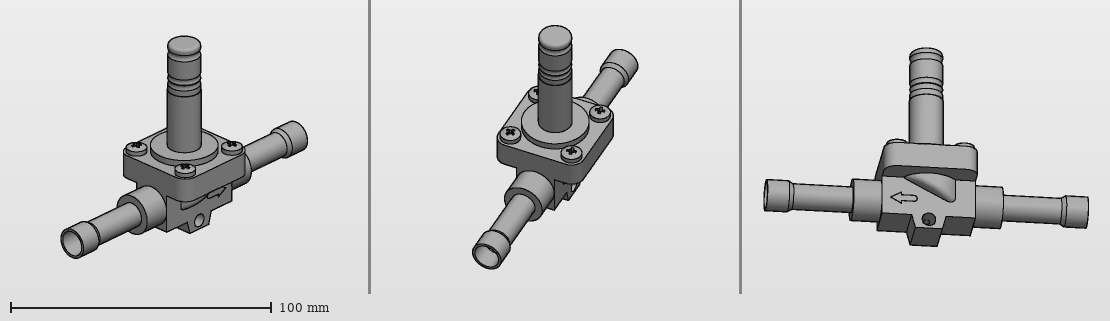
import cadquery as cq
import math

TURN_ANGLE = -9.2

COVER_SIDE = 36.0
COVER_CORNER_RADIUS = 5.1
COVER_BOTTOM = 7.0
COVER_TOP = 16.8
BOSS_DIAMETER = 26.0
BOSS_TOP = 19.4

SCREW_OFFSET = COVER_SIDE / 2 - COVER_CORNER_RADIUS
SCREW_DIAMETER = 8.0
SCREW_RIM_TOP = 18.7
SCREW_CROWN_TOP = 19.8
RECESS_SPAN = 4.0
RECESS_WIDTH = 0.9
RECESS_DEPTH = 2.0
RECESS_WELL_DIAMETER = 2.0
SCREWS = [(-1, 1, 0.0), (1, 1, 0.0), (1, -1, 0.0), (-1, -1, -32.0)]

STEM_DIAMETER = 13.0
STEM_SHOULDER = 43.5
TIP_DIAMETER = 12.7
STEM_TOP = 63.7
STEM_END_DIAMETER = 10.1
STEM_END_ROUND = (TIP_DIAMETER - STEM_END_DIAMETER) / 2
STEM_GROOVES = [(46.0, 48.2, 12.0), (48.5, 50.7, 12.0), (58.6, 61.3, 11.6)]

BODY_WIDTH = 16.0
BODY_LENGTH = COVER_SIDE
BODY_BOTTOM = -8.7

CHAMBER_DIAMETER = 26.0
CHAMBER_SLOPE = 28.0
CHAMBER_MID_HEIGHT = 1.5
CHAMBER_EDGE_RADIUS = 2.0

TAB_BOTTOM = -14.0
TAB_TOP_LENGTH = 13.3
TAB_BOTTOM_LENGTH = 10.5
TAB_HOLE_DIAMETER = 5.2
TAB_HOLE_HEIGHT = -10.3

ARROW_TIP = 14.8
ARROW_NECK = 10.6
ARROW_TAIL = 4.5
ARROW_HEAD_WIDTH = 4.7
ARROW_SHAFT_WIDTH = 2.5
ARROW_HEIGHT = -1.7
ARROW_DEPTH = 0.1

PIPE_SPAN = 124.0
PIPE_END = PIPE_SPAN / 2
COLLAR_DIAMETER = 16.0
COLLAR_END = 28.8
PIPE_DIAMETER = 10.0
BORE_DIAMETER = 8.0
BORE_FLOOR = 21.1
SOCKET_DIAMETER = 12.0
SOCKET_BORE = 10.1
SOCKET_LENGTH = 8.5
FLARE_LENGTH = 1.7


def make_cover():
    plate = (
        cq.Workplane("XY", origin=(0, 0, COVER_BOTTOM))
        .rect(COVER_SIDE, COVER_SIDE)
        .extrude(COVER_TOP - COVER_BOTTOM)
        .edges("|Z")
        .fillet(COVER_CORNER_RADIUS)
    )
    boss = (
        cq.Workplane("XY", origin=(0, 0, COVER_TOP))
        .circle(BOSS_DIAMETER / 2)
        .extrude(BOSS_TOP - COVER_TOP)
    )
    return plate.union(boss)


def make_recess():
    """Cross-shaped cutter whose arms get shorter towards a small round well."""
    floor = SCREW_CROWN_TOP - RECESS_DEPTH
    arm = (
        cq.Workplane("XZ")
        .moveTo(-RECESS_SPAN / 2, SCREW_CROWN_TOP)
        .lineTo(RECESS_SPAN / 2, SCREW_CROWN_TOP)
        .lineTo(RECESS_WELL_DIAMETER / 2, floor)
        .lineTo(-RECESS_WELL_DIAMETER / 2, floor)
        .close()
        .extrude(RECESS_WIDTH / 2, both=True)
    )
    well = (
        cq.Workplane("XY", origin=(0, 0, floor))
        .circle(RECESS_WELL_DIAMETER / 2)
        .extrude(RECESS_DEPTH)
    )
    return arm.union(arm.rotate((0, 0, 0), (0, 0, 1), 90)).union(well)


def make_screw(x_side, y_side, direction):
    """Domed screw head with a cross recess."""
    radius = SCREW_DIAMETER / 2
    rise = SCREW_CROWN_TOP - SCREW_RIM_TOP
    dome_radius = (radius**2 + rise**2) / (2 * rise)
    half_chord = radius / 2
    half_height = SCREW_CROWN_TOP - dome_radius + math.sqrt(dome_radius**2 - half_chord**2)
    head = (
        cq.Workplane("XZ")
        .moveTo(0, COVER_TOP)
        .lineTo(radius, COVER_TOP)
        .lineTo(radius, SCREW_RIM_TOP)
        .threePointArc((half_chord, half_height), (0, SCREW_CROWN_TOP))
        .close()
        .revolve(360, (0, 0, 0), (0, 1, 0))
    )
    head = head.cut(make_recess()).rotate((0, 0, 0), (0, 0, 1), direction - TURN_ANGLE)
    return head.translate((x_side * SCREW_OFFSET, y_side * SCREW_OFFSET, 0))


def make_stem():
    tip_radius = TIP_DIAMETER / 2
    round_centre = (STEM_END_DIAMETER / 2, STEM_TOP - STEM_END_ROUND)
    round_reach = STEM_END_ROUND * math.sqrt(0.5)
    profile = (
        cq.Workplane("XZ")
        .moveTo(0, COVER_TOP)
        .lineTo(STEM_DIAMETER / 2, COVER_TOP)
        .lineTo(STEM_DIAMETER / 2, STEM_SHOULDER)
        .lineTo(tip_radius, STEM_SHOULDER)
    )
    for bottom, top, floor_diameter in STEM_GROOVES:
        profile = profile.lineTo(tip_radius, bottom).threePointArc(
            (floor_diameter / 2, (bottom + top) / 2), (tip_radius, top)
        )
    return (
        profile.lineTo(tip_radius, round_centre[1])
        .threePointArc(
            (round_centre[0] + round_reach, round_centre[1] + round_reach),
            (round_centre[0], STEM_TOP),
        )
        .lineTo(0, STEM_TOP)
        .close()
        .revolve(360, (0, 0, 0), (0, 1, 0))
    )


def make_chamber():
    radius = CHAMBER_DIAMETER / 2
    rise = radius * math.tan(math.radians(CHAMBER_SLOPE))
    chamber = (
        cq.Workplane("XY", origin=(0, 0, BODY_BOTTOM))
        .circle(radius)
        .extrude(COVER_TOP - BODY_BOTTOM)
    )
    keeper = (
        cq.Workplane("YZ")
        .moveTo(-radius, CHAMBER_MID_HEIGHT - rise)
        .lineTo(radius, CHAMBER_MID_HEIGHT + rise)
        .lineTo(radius, COVER_TOP)
        .lineTo(-radius, COVER_TOP)
        .close()
        .extrude(radius, both=True)
    )
    chamber = chamber.intersect(keeper)
    return chamber.faces("<Z").edges().fillet(CHAMBER_EDGE_RADIUS)


def make_body():
    block = (
        cq.Workplane("XY", origin=(0, 0, BODY_BOTTOM))
        .rect(BODY_WIDTH, BODY_LENGTH)
        .extrude(COVER_BOTTOM - BODY_BOTTOM)
    )
    tab = (
        cq.Workplane("YZ")
        .moveTo(-TAB_TOP_LENGTH / 2, BODY_BOTTOM)
        .lineTo(TAB_TOP_LENGTH / 2, BODY_BOTTOM)
        .lineTo(TAB_BOTTOM_LENGTH / 2, TAB_BOTTOM)
        .lineTo(-TAB_BOTTOM_LENGTH / 2, TAB_BOTTOM)
        .close()
        .extrude(BODY_WIDTH / 2, both=True)
    )
    tab_hole = (
        cq.Workplane("YZ")
        .center(0, TAB_HOLE_HEIGHT)
        .circle(TAB_HOLE_DIAMETER / 2)
        .extrude(BODY_WIDTH / 2, both=True)
    )
    return block.union(make_chamber()).union(tab).cut(tab_hole)


def make_arrow(side):
    """Arrow-shaped cutter for the body face on the given X side."""
    half_head = ARROW_HEAD_WIDTH / 2
    half_shaft = ARROW_SHAFT_WIDTH / 2
    tail_start = ARROW_TAIL + half_shaft
    face = cq.Workplane("YZ", origin=(side * BODY_WIDTH / 2, 0, ARROW_HEIGHT))
    return (
        face.moveTo(ARROW_TIP, 0)
        .lineTo(ARROW_NECK, half_head)
        .lineTo(ARROW_NECK, half_shaft)
        .lineTo(tail_start, half_shaft)
        .threePointArc((ARROW_TAIL, 0), (tail_start, -half_shaft))
        .lineTo(ARROW_NECK, -half_shaft)
        .lineTo(ARROW_NECK, -half_head)
        .close()
        .extrude(-side * ARROW_DEPTH)
    )


def revolve_about_pipe(points):
    """Revolve a (radius, distance) outline about the pipe axis."""
    return cq.Workplane("XY").polyline(points).close().revolve(360, (0, 0, 0), (0, 1, 0))


def make_pipe_pair():
    """Pipe stubs on both ends of the body, and the cutter for their blind bores."""
    socket_start = PIPE_END - SOCKET_LENGTH
    flare_start = socket_start - FLARE_LENGTH
    stub = revolve_about_pipe([
        (0, 0),
        (COLLAR_DIAMETER / 2, 0),
        (COLLAR_DIAMETER / 2, COLLAR_END),
        (PIPE_DIAMETER / 2, COLLAR_END),
        (PIPE_DIAMETER / 2, flare_start),
        (SOCKET_DIAMETER / 2, socket_start),
        (SOCKET_DIAMETER / 2, PIPE_END),
        (0, PIPE_END),
    ])
    bore = revolve_about_pipe([
        (0, BORE_FLOOR),
        (BORE_DIAMETER / 2, BORE_FLOOR),
        (BORE_DIAMETER / 2, flare_start),
        (SOCKET_BORE / 2, socket_start),
        (SOCKET_BORE / 2, PIPE_END),
        (0, PIPE_END),
    ])
    stubs = stub.union(stub.mirror("XZ"))
    bores = bore.union(bore.mirror("XZ"))
    return stubs, bores


pipe_stubs, pipe_bores = make_pipe_pair()
valve = make_cover().union(make_body()).union(pipe_stubs).cut(pipe_bores).union(make_stem())
for screw in SCREWS:
    valve = valve.union(make_screw(*screw))
for side in (-1, 1):
    valve = valve.cut(make_arrow(side))

result = valve.rotate((0, 0, 0), (0, 0, 1), TURN_ANGLE)